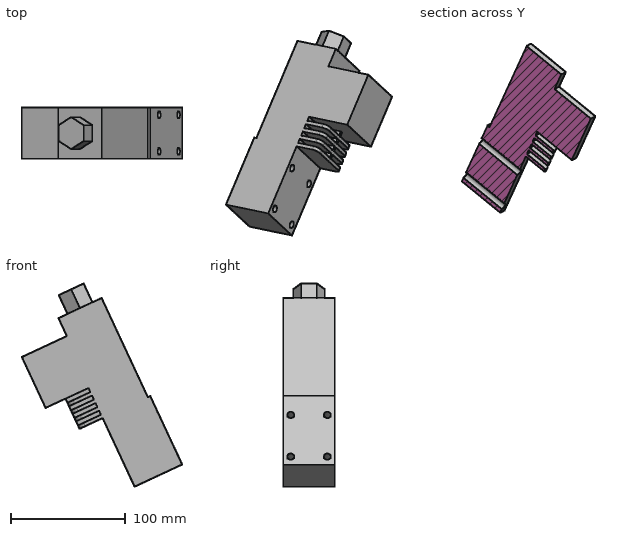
import cadquery as cq

tilt = 25.0
width = 45.0

grip_depth = 45.8
grip_height = 65.9
back_step = 2.3
body_back = grip_depth - back_step
body_height = 161.0
neck_front = 2.0
nose_front = -41.2
nose_bottom = 94.9
nose_top = 144.0

fin_front = -22.1
fin_count = 4
fin_pitch = (nose_bottom - grip_height) / fin_count
fin_thickness = 3.4
fin_corner_radius = 5.3
spine_thickness = 2.7

knob_corners = 27.8
knob_center = 22.7
knob_height = 18.0

hole_diameter = 6.0
hole_spacing = 31.9
hole_heights = (7.6, 47.6)


def make_body():
    profile = [
        (0, 0),
        (grip_depth, 0),
        (grip_depth, grip_height),
        (body_back, grip_height),
        (body_back, body_height),
        (neck_front, body_height),
        (neck_front, nose_top),
        (nose_front, nose_top),
        (nose_front, nose_bottom),
        (0, nose_bottom),
    ]
    return cq.Workplane("XZ").polyline(profile).close().extrude(width / 2, both=True)


def make_fin(bottom):
    length = grip_depth / 2 - fin_front
    fin = cq.Workplane("XY").box(length, width, fin_thickness, centered=(False, True, False))
    fin = fin.edges("|Z and <X").fillet(fin_corner_radius)
    return fin.translate((fin_front, 0, bottom))


def make_spine():
    spine = cq.Workplane("XY").box(
        -fin_front, spine_thickness, nose_bottom - grip_height, centered=(False, True, False)
    )
    return spine.translate((fin_front, 0, grip_height))


def make_knob():
    knob = cq.Workplane("XY").polygon(6, knob_corners).extrude(knob_height)
    knob = knob.rotate((0, 0, 0), (0, 0, 1), 90)
    return knob.translate((knob_center, 0, body_height))


def make_holes():
    centers = [(side * hole_spacing / 2, z) for side in (-1, 1) for z in hole_heights]
    return cq.Workplane("YZ").pushPoints(centers).circle(hole_diameter / 2).extrude(grip_depth)


part = make_body().union(make_spine()).union(make_knob())
for index in range(fin_count):
    part = part.union(make_fin(grip_height + index * fin_pitch))
part = part.cut(make_holes())

result = part.rotate((0, 0, 0), (0, 1, 0), -tilt)